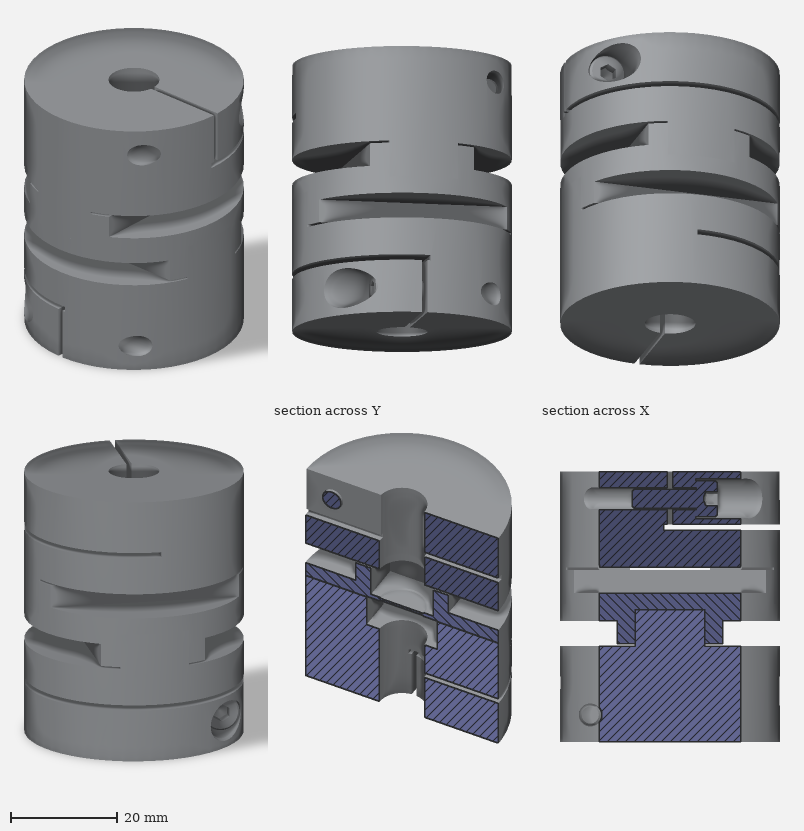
import cadquery as cq
import math


total_length = 50.8
outer_diameter = 41.3
outer_radius = outer_diameter / 2
mid_height = total_length / 2

disc_height = 13.9
plate_thickness = 5.3
web_thickness = 1.0
rib_pair_width = 19.95
recess_rim_diameter = 9.55
recess_floor_diameter = 8.9
recess_depth = 0.2

hub_length = 18.05
bore_diameter = 9.55
lug_width = 13.15
lug_spacing = 15.05
lug_height = mid_height - web_thickness / 2 - hub_length

cut_width = 1.0
clamp_height = 9.95
cross_slot_overrun = 1.1

screw_y = -15.0
screw_z = 5.1
counterbore_diameter = 7.55
screw_hole_diameter = 4.3
head_diameter = 7.0
head_length = 4.0
head_face_x = -8.9
head_chamfer = 0.35
shank_diameter = 4.0
shank_length = 12.0
tip_chamfer = 0.4
socket_width = 3.0
socket_depth = 2.0
socket_point_angle = 120.0

seat_x = head_face_x + head_length
tip_x = seat_x + shank_length


def make_cylinder_along_x(diameter, start_x, end_x):
    """Cylinder on the screw axis between two X positions."""
    plane = cq.Workplane("YZ", origin=(start_x, screw_y, screw_z))
    return plane.circle(diameter / 2).extrude(end_x - start_x)


def make_socket():
    """Hexagon socket whose floor is a drill-point cone."""
    corner_radius = socket_width / math.sqrt(3)
    point_depth = corner_radius / math.tan(math.radians(socket_point_angle / 2))
    full_depth = socket_depth + point_depth
    hexagon = (
        cq.Workplane("YZ", origin=(head_face_x, screw_y, screw_z))
        .polygon(6, 2 * corner_radius)
        .extrude(full_depth)
        .rotate((0, screw_y, screw_z), (1, screw_y, screw_z), 90)
    )
    drill = (
        cq.Workplane("XY", origin=(head_face_x, screw_y, screw_z))
        .polyline([(0, 0), (0, corner_radius), (socket_depth, corner_radius), (full_depth, 0)])
        .close()
        .revolve(360, (0, 0), (1, 0))
    )
    return hexagon.intersect(drill)


def make_screw():
    """Socket head cap screw, which is one piece with its hub."""
    head = make_cylinder_along_x(head_diameter, head_face_x, seat_x)
    head = head.faces("<X").chamfer(head_chamfer)
    shank = make_cylinder_along_x(shank_diameter, seat_x, tip_x)
    shank = shank.faces(">X").chamfer(tip_chamfer)
    return head.union(shank).cut(make_socket())


def make_lugs():
    """Two drive lugs on the inner end of the hub, at -X and +X."""
    bar = cq.Workplane("XY").box(outer_diameter, lug_width, lug_height, centered=(True, True, False))
    gap = cq.Workplane("XY").box(lug_spacing, lug_width, lug_height, centered=(True, True, False))
    rim = cq.Workplane("XY").circle(outer_radius).extrude(lug_height)
    return bar.cut(gap).intersect(rim).translate((0, 0, hub_length))


def make_hub():
    """Lower clamping hub with its lugs pointing up."""
    body = cq.Workplane("XY").circle(outer_radius).extrude(hub_length)
    body = body.union(make_lugs())
    bore = cq.Workplane("XY").circle(bore_diameter / 2).extrude(hub_length)

    cross_slot = cq.Workplane("XY").box(
        outer_radius + cross_slot_overrun, outer_diameter, cut_width, centered=(False, True, False)
    )
    cross_slot = cross_slot.translate((-outer_radius, 0, clamp_height))
    slit = cq.Workplane("XY").box(cut_width, outer_radius, clamp_height, centered=(True, False, False))
    slit = slit.translate((0, -outer_radius, 0))

    counterbore = make_cylinder_along_x(counterbore_diameter, -outer_radius, seat_x)
    screw_hole = make_cylinder_along_x(screw_hole_diameter, seat_x, outer_radius)

    for cutter in (bore, cross_slot, slit, counterbore, screw_hole):
        body = body.cut(cutter)
    return body.union(make_screw())


def flip(shape, height):
    """Turn half a turn about the horizontal diagonal at a height, which swaps X with -Y and up with down."""
    return shape.rotate((0, 0, height), (0.5, -0.5, height), 180)


def make_disc_upper_cutter():
    """Material removed above the middle of the disc, which leaves two ribs along Y."""
    plate_top = plate_thickness / 2
    above_plate = cq.Workplane("XY", origin=(0, 0, plate_top)).box(
        outer_diameter, outer_diameter, disc_height / 2 - plate_top, centered=(True, True, False)
    )
    rib_pair = cq.Workplane("XY").box(
        rib_pair_width, outer_diameter, disc_height / 2, centered=(True, True, False)
    )
    lug_channel = cq.Workplane("XY", origin=(0, 0, web_thickness / 2)).box(
        lug_width, outer_diameter, (disc_height - web_thickness) / 2, centered=(True, True, False)
    )
    web_recess = (
        cq.Workplane("XY", origin=(0, 0, web_thickness / 2))
        .circle(recess_rim_diameter / 2)
        .workplane(offset=-recess_depth)
        .circle(recess_floor_diameter / 2)
        .loft(ruled=True)
    )
    return above_plate.cut(rib_pair).union(lug_channel).union(web_recess)


def make_disc():
    """Torque disc centred on the origin, with its upper ribs along Y and its lower ribs along X."""
    upper_cutter = make_disc_upper_cutter()
    blank = cq.Workplane("XY").circle(outer_radius).extrude(disc_height / 2, both=True)
    return blank.cut(upper_cutter).cut(flip(upper_cutter, 0))


disc = make_disc().translate((0, 0, mid_height))
lower_hub = make_hub()
upper_hub = flip(lower_hub, mid_height)

result = cq.Compound.makeCompound(
    [lower_hub.solids().val(), disc.solids().val(), upper_hub.solids().val()]
)